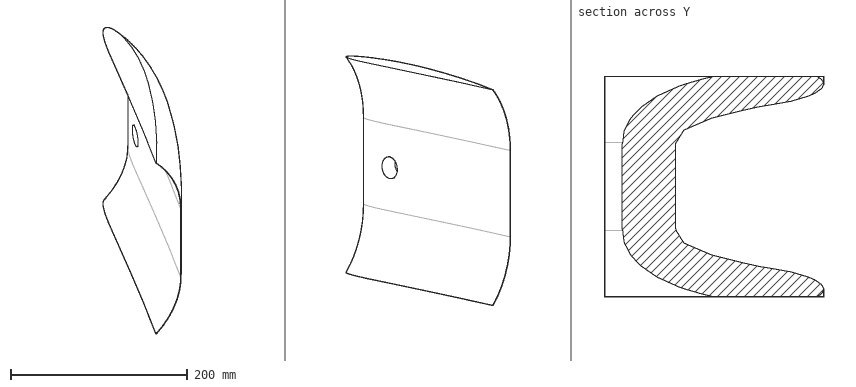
import cadquery as cq
import math

chord = 250.2
max_camber = 0.04
camber_position = 0.4
thickness_ratio = 0.12
pitch_angle = math.radians(7)
points_per_side = 24

height = 250.0
straight_length = 100.0
end_offset = 30.0
bend_height = (height - straight_length) / 2
bend_radius = (bend_height**2 + end_offset**2) / (2 * end_offset)

hole_diameter = 25.0
hole_from_nose = 50.0
hole_floor = end_offset + 10.0


def half_thickness(x):
    """Half thickness of the section at chord fraction x."""
    polynomial = 0.2969 * math.sqrt(x) - 0.1260 * x - 0.3516 * x**2 + 0.2843 * x**3 - 0.1015 * x**4
    return 5 * thickness_ratio * polynomial


def camber(x):
    """Height and slope of the camber line at chord fraction x."""
    p = camber_position
    if x < p:
        scale = max_camber / p**2
        return scale * (2 * p * x - x**2), 2 * scale * (p - x)
    scale = max_camber / (1 - p) ** 2
    return scale * (1 - 2 * p + 2 * p * x - x**2), 2 * scale * (p - x)


def surface_point(x, side):
    """Pitched section point; side is +1 for the back surface and -1 for the front."""
    line, slope = camber(x)
    tilt = math.atan(slope)
    offset = side * half_thickness(x)
    along = chord * (x - offset * math.sin(tilt))
    across = chord * (line + offset * math.cos(tilt))
    return (
        along * math.cos(pitch_angle) + across * math.sin(pitch_angle),
        across * math.cos(pitch_angle) - along * math.sin(pitch_angle),
    )


def section_points():
    """Points from the back trailing edge, round the nose, to the front trailing edge."""
    stations = [(1 - math.cos(math.pi * i / points_per_side)) / 2 for i in range(points_per_side + 1)]
    back = [surface_point(x, 1) for x in reversed(stations)]
    front = [surface_point(x, -1) for x in stations[1:]]
    return back + front


def make_blade():
    """Carry the section along the spine without turning it."""
    half_height = height / 2
    half_straight = straight_length / 2
    half_bend = math.asin(bend_height / bend_radius) / 2
    mid_drop = bend_radius * (1 - math.cos(half_bend))
    mid_rise = half_straight + bend_radius * math.sin(half_bend)

    spine = (
        cq.Workplane("YZ")
        .moveTo(0, -half_height)
        .threePointArc((end_offset - mid_drop, -mid_rise), (end_offset, -half_straight))
        .lineTo(end_offset, half_straight)
        .threePointArc((end_offset - mid_drop, mid_rise), (0, half_height))
    )
    section = cq.Workplane("XY", origin=(0, 0, -half_height)).spline(section_points()).close()
    return section.sweep(spine, normal=cq.Vector(0, 0, 1))


def make_hole():
    """Cylinder along Y at mid height, from Y = 0 in front of the blade to the floor."""
    return (
        cq.Workplane("XZ")
        .center(hole_from_nose, 0)
        .circle(hole_diameter / 2)
        .extrude(-hole_floor)
    )


result = make_blade().cut(make_hole())